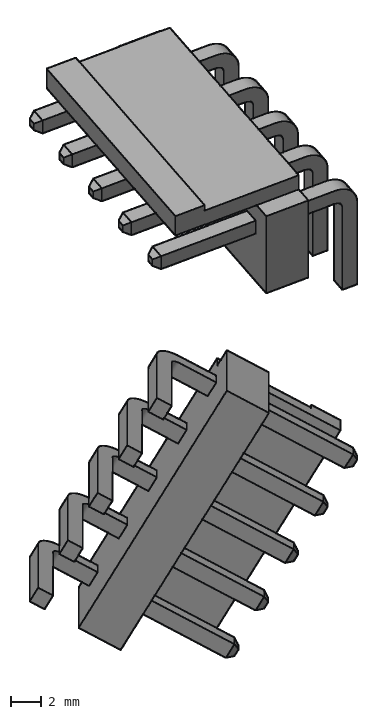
import cadquery as cq


pin_count = 5
pitch = 3.95
body_width = pin_count * pitch
body_depth = 3.22
body_height = 6.77
body_bottom = 3.61
body_top = body_bottom + body_height

plate_width = 17.17
plate_depth = 9.42
plate_thickness = 1.25
lip_depth = 2.23
lip_rise = 0.47

pin_size = 1.15
pin_drop = 1.45
rear_reach = 4.55
front_reach = 7.72
inner_bend_radius = pin_size / 2
outer_bend_radius = inner_bend_radius + pin_size
tip_length = 0.5
tip_size = pin_size / 2

pin_top = body_top - pin_drop
pin_bottom = pin_top - pin_size
pin_axis_height = pin_top - pin_size / 2
tip_base_y = -(body_depth + front_reach - tip_length)


def make_body():
    return cq.Workplane("XY").box(
        body_width, body_depth, body_height, centered=(True, False, False)
    ).translate((0, -body_depth, body_bottom))


def make_plate():
    """Plate flush with the rear of the bar, overhanging the pins at the front."""
    plate_top = body_top + plate_thickness
    lip_top = plate_top + lip_rise
    lip_rear_y = -plate_depth + lip_depth
    profile = [
        (0, body_top),
        (0, plate_top),
        (lip_rear_y, plate_top),
        (lip_rear_y, lip_top),
        (-plate_depth, lip_top),
        (-plate_depth, body_top),
    ]
    return cq.Workplane("YZ").polyline(profile).close().extrude(plate_width / 2, both=True)


def make_pin():
    """Bent square pin centred on X = 0, with a tapered mating tip."""
    tail_back = rear_reach
    tail_front = rear_reach - pin_size
    bend_center_y = rear_reach - outer_bend_radius
    bend_center_z = pin_top - outer_bend_radius
    shank = (
        cq.Workplane("YZ")
        .moveTo(tip_base_y, pin_top)
        .lineTo(bend_center_y, pin_top)
        .radiusArc((tail_back, bend_center_z), outer_bend_radius)
        .lineTo(tail_back, 0)
        .lineTo(tail_front, 0)
        .lineTo(tail_front, bend_center_z)
        .radiusArc((bend_center_y, pin_bottom), -inner_bend_radius)
        .lineTo(tip_base_y, pin_bottom)
        .close()
        .extrude(pin_size / 2, both=True)
    )
    tip = (
        cq.Workplane("XZ", origin=(0, tip_base_y, pin_axis_height))
        .rect(pin_size, pin_size)
        .workplane(offset=tip_length)
        .rect(tip_size, tip_size)
        .loft(ruled=True)
    )
    return shank.union(tip)


result = make_body().union(make_plate())
pin = make_pin()
for index in range(pin_count):
    pin_x = (index - (pin_count - 1) / 2) * pitch
    result = result.union(pin.translate((pin_x, 0, 0)))